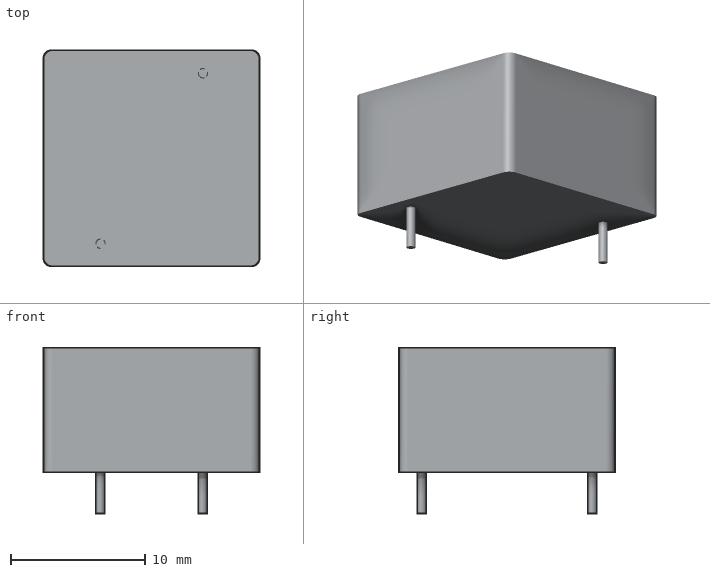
import cadquery as cq

body_side = 16.13
body_height = 9.29
corner_radius = 0.66

total_height = 12.37
pin_length = total_height - body_height
pin_diameter = 0.7
pin_spacing_x = 7.63
pin_spacing_y = 12.71


def make_body():
    """Block standing on the XY plane."""
    block = cq.Workplane("XY").box(body_side, body_side, body_height, centered=(True, True, False))
    return block.edges("|Z").fillet(corner_radius)


def make_pins():
    """Two pins hanging from the underside of the body."""
    x = pin_spacing_x / 2
    y = pin_spacing_y / 2
    return (
        cq.Workplane("XY")
        .pushPoints([(-x, -y), (x, y)])
        .circle(pin_diameter / 2)
        .extrude(-pin_length)
    )


result = make_body().union(make_pins())